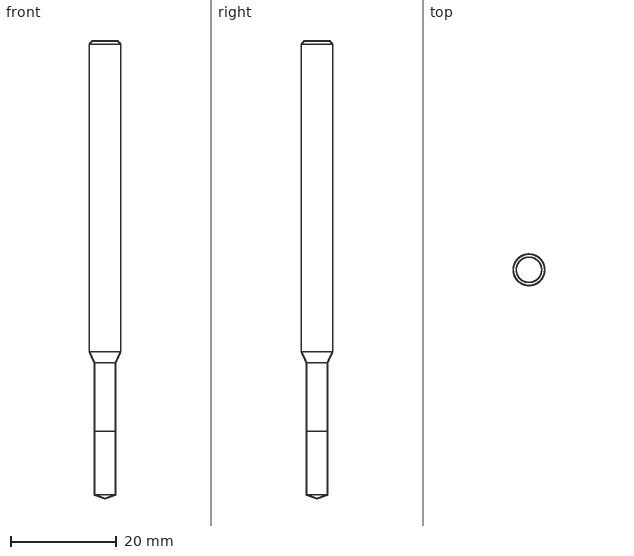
import cadquery as cq
import math

shank_diameter = 6.0
drill_diameter = 4.0
point_angle = 140.0
shoulder_angle = 25.0
body_length = 86.0
neck_length = 25.0
cutting_length = 12.1
chamfer_size = 0.6

shank_radius = shank_diameter / 2
drill_radius = drill_diameter / 2
point_height = drill_radius / math.tan(math.radians(point_angle / 2))
shoulder_height = (shank_radius - drill_radius) / math.tan(math.radians(shoulder_angle))

joint_z = point_height + cutting_length
shoulder_bottom_z = point_height + neck_length
shoulder_top_z = shoulder_bottom_z + shoulder_height
top_z = point_height + body_length


def revolve_about_z(profile):
    """Turn a closed (radius, height) outline into a solid around the Z axis."""
    return cq.Workplane("XZ").polyline(profile).close().revolve(360, (0, 0, 0), (0, 1, 0))


def make_cutting_head():
    """Cylindrical cutting portion with a conical drill point."""
    return revolve_about_z([
        (0, 0),
        (drill_radius, point_height),
        (drill_radius, joint_z),
        (0, joint_z),
    ])


def make_shank():
    """Neck, conical shoulder and shank with a chamfered top end."""
    return revolve_about_z([
        (0, joint_z),
        (drill_radius, joint_z),
        (drill_radius, shoulder_bottom_z),
        (shank_radius, shoulder_top_z),
        (shank_radius, top_z - chamfer_size),
        (shank_radius - chamfer_size, top_z),
        (0, top_z),
    ])


cutting_head = make_cutting_head()
shank = make_shank()

result = cq.Compound.makeCompound([cutting_head.val(), shank.val()])